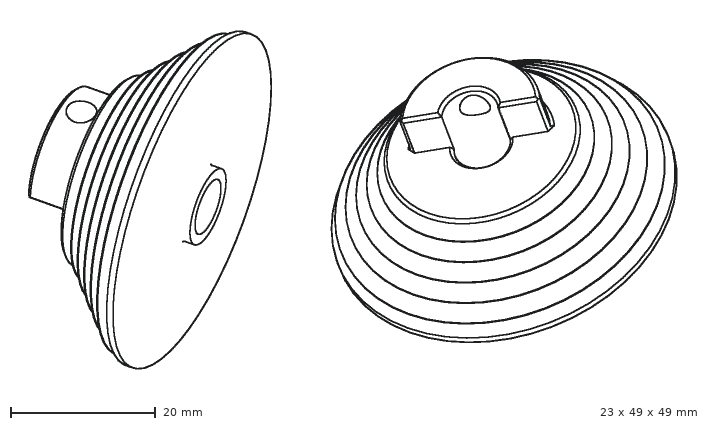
import cadquery as cq
import math

outer_radius = 24.5
overall_length = 23.0
edge_chamfer = 0.5

groove_count = 6
groove_pitch = 2.0
groove_radius = groove_pitch / 2
flange_thickness = 1.0
flange_lip = 0.5
last_root_radius = outer_radius - flange_lip - groove_radius
first_root_radius = last_root_radius - (groove_count - 1) * groove_pitch
ridge_height = groove_radius / 2

hub_length = 7.0
hub_radius = 10.0
flat_height = 0.2
boss_radius = 5.6
boss_fillet = 1.0

bore_radius = 4.0
screw_hole_diameter = 4.2
screw_hole_x = 3.45

drum_start = hub_length
grooves_start = drum_start + edge_chamfer
flange_start = grooves_start + groove_count * groove_pitch
flange_end = flange_start + flange_thickness


def revolve_about_x(profile):
    """Close an (x, radius) profile and turn it about the X axis."""
    return profile.close().revolve(360, (0, 0, 0), (1, 0, 0))


def make_drum():
    rim_radius = first_root_radius + groove_radius
    profile = (
        cq.Workplane("XY")
        .moveTo(drum_start, 0)
        .lineTo(drum_start, rim_radius - edge_chamfer)
        .lineTo(grooves_start, rim_radius)
    )
    ridge_reach = math.sqrt(groove_radius**2 - (groove_radius - ridge_height) ** 2)
    for i in range(groove_count):
        groove_x = grooves_start + groove_radius + i * groove_pitch
        root_radius = first_root_radius + i * groove_pitch
        if i > 0:
            ridge_radius = root_radius + ridge_height
            profile = profile.lineTo(groove_x - groove_radius, ridge_radius)
            profile = profile.lineTo(groove_x - ridge_reach, ridge_radius)
        profile = profile.threePointArc(
            (groove_x, root_radius),
            (groove_x + groove_radius, root_radius + groove_radius),
        )
    profile = (
        profile.lineTo(flange_start, outer_radius)
        .lineTo(flange_end, outer_radius)
        .lineTo(flange_end, boss_radius + boss_fillet)
        .radiusArc((flange_end + boss_fillet, boss_radius), -boss_fillet)
        .lineTo(overall_length, boss_radius)
        .lineTo(overall_length, 0)
    )
    return revolve_about_x(profile)


def make_hub():
    """Half-round hub with a bevelled free end, a conical foot and a bevelled flat."""
    foot_radius = hub_radius + edge_chamfer
    root_end = drum_start + edge_chamfer
    turned = revolve_about_x(
        cq.Workplane("XY")
        .moveTo(0, 0)
        .lineTo(0, hub_radius - edge_chamfer)
        .lineTo(edge_chamfer, hub_radius)
        .lineTo(drum_start - edge_chamfer, hub_radius)
        .lineTo(drum_start, foot_radius)
        .lineTo(root_end, foot_radius)
        .lineTo(root_end, 0)
    )
    flat_half_width = hub_radius - edge_chamfer
    bevel_rise = foot_radius - flat_half_width
    half_section = (
        cq.Workplane("YZ")
        .moveTo(-flat_half_width, flat_height)
        .lineTo(flat_half_width, flat_height)
        .lineTo(foot_radius, flat_height + bevel_rise)
        .lineTo(foot_radius, foot_radius)
        .lineTo(-foot_radius, foot_radius)
        .lineTo(-foot_radius, flat_height + bevel_rise)
        .close()
        .extrude(root_end)
    )
    end_bevel = (
        cq.Workplane("XZ")
        .moveTo(0, flat_height)
        .lineTo(edge_chamfer, flat_height)
        .lineTo(0, flat_height + edge_chamfer)
        .close()
        .extrude(foot_radius, both=True)
    )
    return turned.intersect(half_section).cut(end_bevel)


def bore_tool(entry_x):
    """Through bore with a chamfered entry at entry_x."""
    return revolve_about_x(
        cq.Workplane("XY")
        .moveTo(entry_x, 0)
        .lineTo(entry_x, bore_radius + edge_chamfer)
        .lineTo(entry_x + edge_chamfer, bore_radius)
        .lineTo(overall_length, bore_radius)
        .lineTo(overall_length, 0)
    )


screw_hole = (
    cq.Workplane("XY")
    .center(screw_hole_x, 0)
    .circle(screw_hole_diameter / 2)
    .extrude(hub_radius + edge_chamfer)
)

drum = make_drum().cut(bore_tool(drum_start))
hub = make_hub().cut(bore_tool(0)).cut(screw_hole)
result = drum.union(hub)